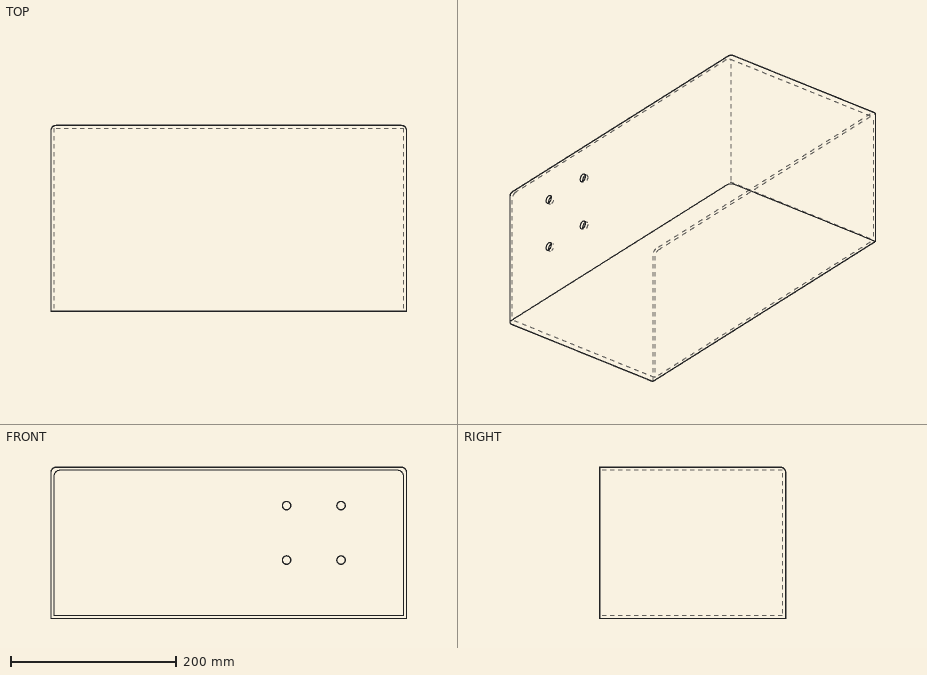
import cadquery as cq

width = 430.5
depth = 225.0
height = 183.5

wall = 4.0
outer_radius = 7.0
inner_radius = 7.5

hole_diameter = 10.0
hole_pitch = 66.0
pattern_center_x = 103.0
pattern_center_z = 12.0


def make_shell():
    """Box open toward -Y, rounded along the top and back edges."""
    outer = cq.Workplane("XY").box(width, depth, height)
    rounded = outer.edges("(|Y and >Z) or (>Y and (not <Z))")
    return rounded.fillet(outer_radius)


def make_cavity():
    """Inner space, running from the open front to the back wall."""
    cavity = cq.Workplane("XY").box(width - 2 * wall, depth - wall, height - 2 * wall)
    cavity = cavity.translate((0, -wall / 2, 0))
    return cavity.edges("|Y and >Z").fillet(inner_radius)


def make_holes():
    """Four cylinders crossing the back wall."""
    return (
        cq.Workplane("XZ", origin=(pattern_center_x, depth / 2, pattern_center_z))
        .rect(hole_pitch, hole_pitch, forConstruction=True)
        .vertices()
        .circle(hole_diameter / 2)
        .extrude(2 * wall)
    )


result = make_shell().cut(make_cavity()).cut(make_holes())